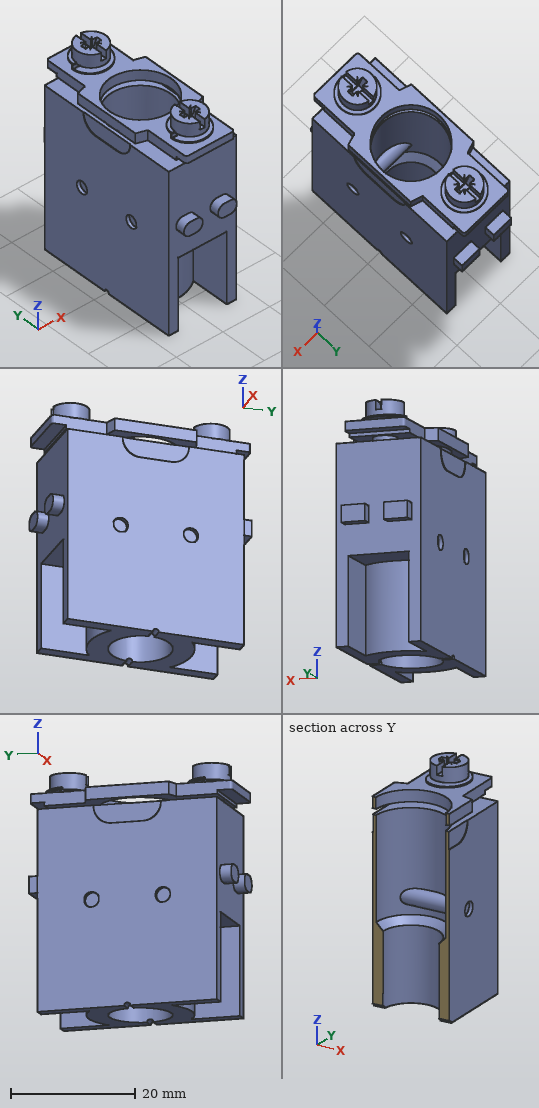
import cadquery as cq

HOUSING_WIDTH = 14.5
HOUSING_LENGTH = 30.2
HOUSING_HEIGHT = 33.4
OVERALL_LENGTH = 34.0

BORE_RADIUS = 6.5
BORE_EXIT_RADIUS = 5.2

SLOT_WIDTH = 10.4
SLOT_HEIGHT = 14.85
TAPER_TOP = SLOT_HEIGHT
TAPER_BOTTOM = TAPER_TOP - (BORE_RADIUS - BORE_EXIT_RADIUS)
TUBE_RADIUS = 8.7

LUG_SPACING = 7.3
LUG_WIDTH = 4.05
LUG_HEIGHT = 2.8
LUG_CENTRE_Z = 21.4
LUG_ROOT = 1.0

LABEL_WIDTH = 11.35
LABEL_HEIGHT = 3.1
LABEL_CORNER_RADIUS = 3.0
LABEL_DEPTH = 0.1

NOTCH_RADIUS = 0.5

PIN_DIAMETER = 3.0
PIN_HOLE_DIAMETER = 2.5
PIN_SPACING = 12.0
PIN_CENTRE_Z = 17.9
PIN_RECESS = 0.7
PIN_LENGTH = HOUSING_WIDTH - 2 * PIN_RECESS

PLATE_TOP = 36.5
PLATE_BOTTOM = 34.4
PLATE_END_BOTTOM = 35.0
PLATE_END_WIDTH = 10.35
PLATE_FULL_WIDTH_LENGTH = 14.0
PLATE_ROOT_LENGTH = 15.3
PLATE_THICK_LENGTH = 29.1
PLATE_CORNER_RADIUS = 0.5
PLATE_HOLE_RADIUS = 6.55

SCREW_SPACING = 24.0
SCREW_POSITIONS = [(0, -SCREW_SPACING / 2, 0), (0, SCREW_SPACING / 2, 0)]
SCREW_DIAMETER = 4.0
SCREW_TIP_Z = 27.4
HEAD_DIAMETER = 6.2
HEAD_BOTTOM = 37.4
HEAD_TOP = 40.1
DRIVE_SLOT_WIDTH = 1.0
DRIVE_SLOT_DEPTH = 1.6
CROSS_WIDTH = 1.06
CROSS_TOP_LENGTH = 3.4
CROSS_BOTTOM_LENGTH = 1.6
CROSS_DEPTH = 2.0
STAR_LENGTH = 3.3
STAR_WIDTH = 0.55

WASHER_INNER_RADIUS = 2.1
WASHER_OUTER_RADIUS = 3.77
WASHER_THICKNESS = 0.25
WASHER_RISE = 0.9
WASHER_TAB_WIDTH = 0.3
WASHER_TURN = 358


def box(size_x, size_y, bottom, top):
    """Box centred on the Z axis between two levels."""
    return cq.Workplane("XY", origin=(0, 0, bottom)).rect(size_x, size_y).extrude(top - bottom)


def cylinder(radius, bottom, top):
    """Upright cylinder on the Z axis between two levels."""
    return cq.Workplane("XY", origin=(0, 0, bottom)).circle(radius).extrude(top - bottom)


def cross_cylinders(diameter, length):
    """Two cylinders along X, centred on the mid-plane, at the pin positions."""
    half_spacing = PIN_SPACING / 2
    return (
        cq.Workplane("YZ", origin=(-length / 2, 0, PIN_CENTRE_Z))
        .pushPoints([(-half_spacing, 0), (half_spacing, 0)])
        .circle(diameter / 2)
        .extrude(length)
    )


def make_bore():
    """Wide bore stepping down through a short taper to the narrow one."""
    return (
        cq.Workplane("XZ")
        .moveTo(0, 0)
        .lineTo(BORE_EXIT_RADIUS, 0)
        .lineTo(BORE_EXIT_RADIUS, TAPER_BOTTOM)
        .lineTo(BORE_RADIUS, TAPER_TOP)
        .lineTo(BORE_RADIUS, HOUSING_HEIGHT)
        .lineTo(0, HOUSING_HEIGHT)
        .close()
        .revolve(360, (0, 0, 0), (0, 1, 0))
    )


def make_lugs():
    """Oval lugs on the -Y end and square-edged ones on the +Y end."""
    reach = OVERALL_LENGTH / 2
    centres = [(-LUG_SPACING / 2, LUG_CENTRE_Z), (LUG_SPACING / 2, LUG_CENTRE_Z)]
    root = HOUSING_LENGTH / 2 - LUG_ROOT
    ovals = (
        cq.Workplane("XZ", origin=(0, -root, 0))
        .pushPoints(centres)
        .slot2D(LUG_WIDTH, LUG_HEIGHT)
        .extrude(reach - root)
    )
    blocks = (
        cq.Workplane("XZ", origin=(0, reach, 0))
        .pushPoints(centres)
        .rect(LUG_WIDTH, LUG_HEIGHT)
        .extrude(reach - root)
    )
    return ovals.union(blocks)


def make_label_recesses():
    """Recesses open at the top edge, with rounded lower corners, one on each wide side."""
    cutter = (
        cq.Workplane("YZ", origin=(-HOUSING_WIDTH / 2, 0, HOUSING_HEIGHT))
        .rect(LABEL_WIDTH, 2 * LABEL_HEIGHT)
        .extrude(LABEL_DEPTH)
        .edges("|X")
        .fillet(LABEL_CORNER_RADIUS)
    )
    return cutter.union(cutter.mirror("YZ"))


def make_notch():
    """Round-topped groove along X through the bottom edges."""
    return (
        cq.Workplane("YZ", origin=(-HOUSING_WIDTH / 2, 0, 0))
        .moveTo(-NOTCH_RADIUS, -NOTCH_RADIUS)
        .lineTo(-NOTCH_RADIUS, 0)
        .threePointArc((0, NOTCH_RADIUS), (NOTCH_RADIUS, 0))
        .lineTo(NOTCH_RADIUS, -NOTCH_RADIUS)
        .close()
        .extrude(HOUSING_WIDTH)
    )


def make_housing():
    body = box(HOUSING_WIDTH, HOUSING_LENGTH, 0, HOUSING_HEIGHT)
    end_slots = box(SLOT_WIDTH, HOUSING_LENGTH, 0, SLOT_HEIGHT).cut(cylinder(TUBE_RADIUS, 0, SLOT_HEIGHT))
    body = body.cut(end_slots).union(make_lugs()).cut(make_bore())
    body = body.cut(make_label_recesses()).cut(make_notch())
    body = body.cut(cross_cylinders(PIN_DIAMETER, PIN_LENGTH))
    body = body.cut(cross_cylinders(PIN_HOLE_DIAMETER, HOUSING_WIDTH))
    for position in SCREW_POSITIONS:
        body = body.cut(cylinder(SCREW_DIAMETER / 2, SCREW_TIP_Z, HOUSING_HEIGHT).translate(position))
    return body


def make_plate():
    ends = box(PLATE_END_WIDTH, OVERALL_LENGTH, PLATE_END_BOTTOM, PLATE_TOP)
    ends = ends.edges("|Z").fillet(PLATE_CORNER_RADIUS)
    thick = box(PLATE_END_WIDTH, PLATE_THICK_LENGTH, PLATE_BOTTOM, PLATE_TOP)
    edge_x = HOUSING_WIDTH / 2
    edge_y = PLATE_FULL_WIDTH_LENGTH / 2
    root_x = PLATE_END_WIDTH / 2
    root_y = PLATE_ROOT_LENGTH / 2
    middle = (
        cq.Workplane("XY", origin=(0, 0, PLATE_BOTTOM))
        .moveTo(edge_x, -edge_y)
        .lineTo(edge_x, edge_y)
        .lineTo(root_x, root_y)
        .lineTo(-root_x, root_y)
        .lineTo(-edge_x, edge_y)
        .lineTo(-edge_x, -edge_y)
        .lineTo(-root_x, -root_y)
        .lineTo(root_x, -root_y)
        .close()
        .extrude(PLATE_TOP - PLATE_BOTTOM)
    )
    plate = ends.union(thick).union(middle).cut(cylinder(PLATE_HOLE_RADIUS, PLATE_BOTTOM, PLATE_TOP))
    for position in SCREW_POSITIONS:
        plate = plate.cut(cylinder(SCREW_DIAMETER / 2, PLATE_BOTTOM, PLATE_TOP).translate(position))
    return plate


def make_cross_recess():
    """Cross slot along X, narrowing in length towards its floor."""
    return (
        cq.Workplane("XZ", origin=(0, CROSS_WIDTH / 2, HEAD_TOP))
        .moveTo(-CROSS_TOP_LENGTH / 2, 0)
        .lineTo(CROSS_TOP_LENGTH / 2, 0)
        .lineTo(CROSS_BOTTOM_LENGTH / 2, -CROSS_DEPTH)
        .lineTo(-CROSS_BOTTOM_LENGTH / 2, -CROSS_DEPTH)
        .close()
        .extrude(CROSS_WIDTH)
    )


def make_star_mark(angle):
    """Slim diamond-shaped notch across the head."""
    return (
        cq.Workplane("XY", origin=(0, 0, HEAD_TOP))
        .moveTo(STAR_LENGTH / 2, 0)
        .lineTo(0, STAR_WIDTH / 2)
        .lineTo(-STAR_LENGTH / 2, 0)
        .lineTo(0, -STAR_WIDTH / 2)
        .close()
        .extrude(-DRIVE_SLOT_DEPTH)
        .rotate((0, 0, 0), (0, 0, 1), angle)
    )


def make_screw():
    head = cylinder(HEAD_DIAMETER / 2, HEAD_BOTTOM, HEAD_TOP)
    head = head.cut(box(DRIVE_SLOT_WIDTH, HEAD_DIAMETER, HEAD_TOP - DRIVE_SLOT_DEPTH, HEAD_TOP))
    head = head.cut(make_cross_recess())
    for angle in (45, 135):
        head = head.cut(make_star_mark(angle))
    return head.union(cylinder(SCREW_DIAMETER / 2, SCREW_TIP_Z, HEAD_BOTTOM))


def make_washer():
    """Split coil rising anticlockwise from the plate, trimmed where it bears on the screw head."""
    pitch = WASHER_RISE * 360 / WASHER_TURN
    path = cq.Wire.makeHelix(pitch, WASHER_RISE, WASHER_OUTER_RADIUS)
    mean_radius = (WASHER_INNER_RADIUS + WASHER_OUTER_RADIUS) / 2
    band = WASHER_OUTER_RADIUS - WASHER_INNER_RADIUS
    coil = (
        cq.Workplane("XZ")
        .center(mean_radius, WASHER_THICKNESS / 2)
        .rect(band, WASHER_THICKNESS)
        .sweep(cq.Workplane(path), isFrenet=True)
    )
    tab = (
        cq.Workplane("XY")
        .center(mean_radius, -WASHER_TAB_WIDTH / 2)
        .rect(band, WASHER_TAB_WIDTH)
        .extrude(WASHER_RISE + WASHER_THICKNESS / 2)
        .rotate((0, 0, 0), (0, 0, 1), WASHER_TURN)
    )
    washer = coil.union(tab).rotate((0, 0, 0), (0, 0, 1), 180).translate((0, 0, PLATE_TOP))
    return washer.cut(cylinder(HEAD_DIAMETER / 2, HEAD_BOTTOM, HEAD_TOP))


housing = make_housing()
pins = cross_cylinders(PIN_DIAMETER, PIN_LENGTH)
plate = make_plate()
screws = [make_screw().translate(position) for position in SCREW_POSITIONS]
washers = [make_washer().translate(position) for position in SCREW_POSITIONS]

result = cq.Compound.makeCompound([
    housing.val(),
    *pins.vals(),
    plate.val(),
    *[screw.val() for screw in screws],
    *[washer.val() for washer in washers],
])